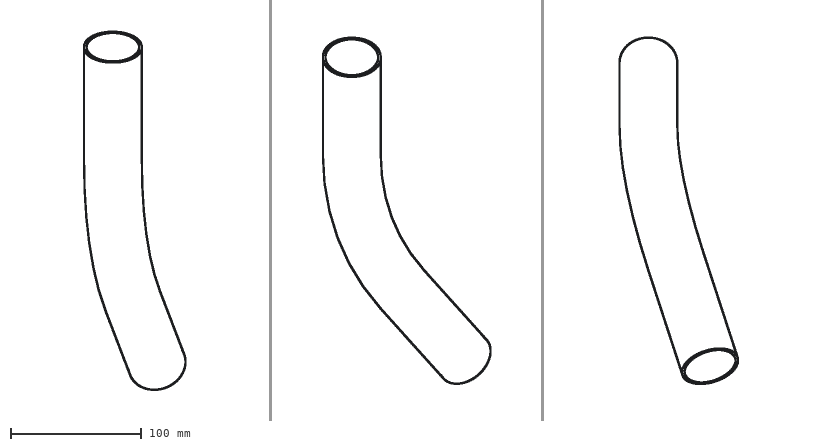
import cadquery as cq
import math

outer_diameter = 44.45
inner_diameter = 40.23
straight_length = 101.6
bend_radius = 304.8
bend_angle = 30.0


def bend_point(angle):
    """Centreline point (Y, Z) at an angle along the bend, which starts at the origin heading down."""
    turn = math.radians(angle)
    return (bend_radius * (1 - math.cos(turn)), -bend_radius * math.sin(turn))


def make_centreline():
    """Upper straight, bend towards +Y, then lower straight, all in the YZ plane."""
    bend_end_y, bend_end_z = bend_point(bend_angle)
    tilt = math.radians(bend_angle)
    lower_end = (
        bend_end_y + straight_length * math.sin(tilt),
        bend_end_z - straight_length * math.cos(tilt),
    )
    return (
        cq.Workplane("YZ")
        .moveTo(0, straight_length)
        .lineTo(0, 0)
        .threePointArc(bend_point(bend_angle / 2), (bend_end_y, bend_end_z))
        .lineTo(*lower_end)
    )


def make_tube(centreline):
    """Sweep the ring-shaped cross-section from the upper end along the centreline."""
    return (
        cq.Workplane("XY", origin=(0, 0, straight_length))
        .circle(outer_diameter / 2)
        .circle(inner_diameter / 2)
        .sweep(centreline)
    )


result = make_tube(make_centreline())